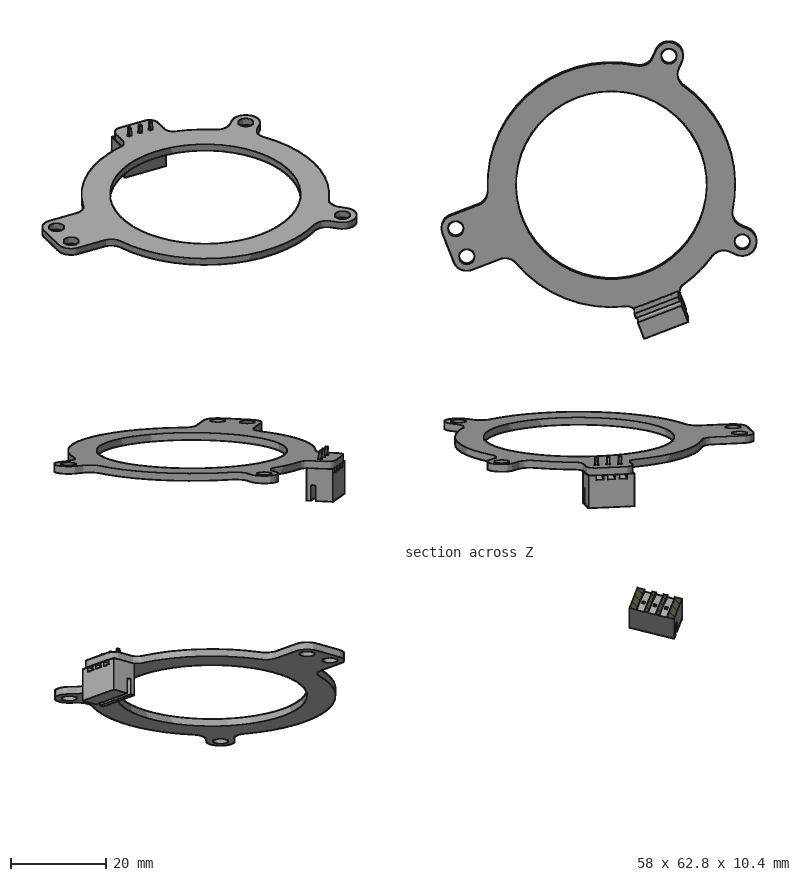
import cadquery as cq
import math

board_thickness = 1.6
ring_outer_radius = 26.0
ring_inner_radius = 20.0
mount_hole_diameter = 3.2
arm_radius = 3.0

ear_distance = 30.0
ear_angles = (45, 135)

mount_tab_hole_offset = 3.2
mount_tab_end = -36.8
mount_tab_half_width = mount_tab_hole_offset + arm_radius
mount_tab_hole_y = mount_tab_end + arm_radius

connector_tab_end = -32.0
connector_tab_width = 10.0
connector_tab_radius = 2.0

housing_depth = 5.75
housing_width = 9.9
housing_height = 7.0
housing_outer_x = -31.85
connector_y = -0.08

slot_width = 1.0
slot_height = 3.4
slot_start = 3.75
slot_corner_radius = 0.3

notch_width = 1.6
notch_depth = 1.0
notch_shallow_depth = 0.3
notch_ramp_length = 2.8

pin_pitch = 2.5
pin_size = 0.58
pin_hole_diameter = 0.95
pin_top = 3.4
pin_tip_height = 0.25
pin_tip_size = 0.3
pin_kink = 0.08
pin_lean = 7
pin_setback = 3.4
pin_x = housing_outer_x + pin_setback
middle_pin_y = connector_y
outer_pin_ys = (connector_y - pin_pitch, connector_y + pin_pitch)
pin_ys = (middle_pin_y, *outer_pin_ys)


def make_plate(outline):
    """Extrude a flat outline to the board thickness, upwards from Z = 0."""
    return outline.extrude(board_thickness)


def make_ear(angle):
    """Round-ended arm that reaches radially out of the ring."""
    arm = make_plate(cq.Workplane("XY").center(ear_distance / 2, 0).rect(ear_distance, 2 * arm_radius))
    end = make_plate(cq.Workplane("XY").center(ear_distance, 0).circle(arm_radius))
    return arm.union(end).rotate((0, 0, 0), (0, 0, 1), angle)


def make_connector_tab():
    length = -connector_tab_end
    tab = make_plate(cq.Workplane("XY").center(-length / 2, 0).rect(length, connector_tab_width))
    return tab.edges("|Z and <X").fillet(connector_tab_radius)


def make_mount_tab():
    length = -mount_tab_end
    tab = make_plate(cq.Workplane("XY").center(0, -length / 2).rect(2 * mount_tab_half_width, length))
    return tab.edges("|Z and <Y").fillet(arm_radius)


def fillet_root(body, x, y, radius):
    """Round the inside corner where an arm leaves the ring at (x, y)."""
    corner = cq.selectors.NearestToPointSelector((x, y, board_thickness / 2))
    return body.edges("|Z").edges(corner).fillet(radius)


def root_distance(half_width):
    """Distance from the ring centre, along an arm, to where its side meets the ring."""
    return math.sqrt(ring_outer_radius**2 - half_width**2)


def make_board():
    board = make_plate(cq.Workplane("XY").circle(ring_outer_radius))
    arms = [(angle, arm_radius, arm_radius) for angle in ear_angles]
    arms.append((180, connector_tab_width / 2, connector_tab_radius))
    arms.append((270, mount_tab_half_width, arm_radius))

    for angle in ear_angles:
        board = board.union(make_ear(angle))
    board = board.union(make_connector_tab()).union(make_mount_tab())

    for angle, half_width, radius in arms:
        direction = math.radians(angle)
        along = root_distance(half_width)
        for across in (-half_width, half_width):
            x = along * math.cos(direction) - across * math.sin(direction)
            y = along * math.sin(direction) + across * math.cos(direction)
            board = fillet_root(board, x, y, radius)

    ear_holes = [
        (ear_distance * math.cos(math.radians(angle)), ear_distance * math.sin(math.radians(angle)))
        for angle in ear_angles
    ]
    tab_holes = [(side * mount_tab_hole_offset, mount_tab_hole_y) for side in (-1, 1)]
    opening = make_plate(cq.Workplane("XY").circle(ring_inner_radius))
    mount_holes = make_plate(
        cq.Workplane("XY").pushPoints(ear_holes + tab_holes).circle(mount_hole_diameter / 2)
    )
    pin_centres = [(pin_x, y) for y in pin_ys]
    pin_holes = make_plate(cq.Workplane("XY").pushPoints(pin_centres).circle(pin_hole_diameter / 2))
    return board.cut(opening).cut(mount_holes).cut(pin_holes)


def make_notch(y):
    """Relief in the housing top: its floor rises towards the pin, then runs level."""
    profile = [
        (housing_outer_x, 0),
        (housing_outer_x, -notch_depth),
        (housing_outer_x + notch_ramp_length, -notch_shallow_depth),
        (housing_outer_x + housing_depth, -notch_shallow_depth),
        (housing_outer_x + housing_depth, 0),
    ]
    notch = cq.Workplane("XZ").polyline(profile).close().extrude(notch_width / 2, both=True)
    return notch.translate((0, y, 0))


def make_slot():
    """Slot across the underside of the housing, open at the bottom."""
    slot = cq.Workplane("XY").box(slot_width, housing_width, slot_height, centered=(False, True, False))
    slot = slot.edges("|Y and >Z").fillet(slot_corner_radius)
    return slot.translate((housing_outer_x + slot_start, 0, -housing_height))


def make_pin_end(bottom, lean):
    """Free end of a pin from the given height up: square, tapered at the tip, leaning towards -X."""
    end_height = pin_top - bottom
    shank_height = end_height - pin_tip_height

    def section(height, size):
        shift = -height * math.tan(math.radians(lean))
        centre = cq.Workplane("XY").workplane(offset=bottom + height).center(shift, 0)
        return centre.rect(size, size).wires().val()

    base = section(0, pin_size)
    shoulder = section(shank_height, pin_size)
    tip = section(end_height, pin_tip_size)
    shank = cq.Solid.makeLoft([base, shoulder], True)
    taper = cq.Solid.makeLoft([shoulder, tip], True)
    return cq.Workplane(shank).union(cq.Workplane(taper))


def make_pin(y, kink, lean):
    """Square pin rooted in the housing, kinked inside the board and leaning above it."""
    half = pin_size / 2
    profile = [
        (-half, -notch_depth),
        (half, -notch_depth),
        (half, 0),
        (half + kink, board_thickness),
        (-half + kink, board_thickness),
        (-half, 0),
    ]
    root = cq.Workplane("XZ").polyline(profile).close().extrude(half, both=True)
    end = make_pin_end(board_thickness, lean).translate((kink, 0, 0))
    return root.union(end).translate((pin_x, y, 0))


def make_connector():
    connector = cq.Workplane("XY").box(
        housing_depth, housing_width, housing_height, centered=(False, True, False)
    )
    connector = connector.translate((housing_outer_x, 0, -housing_height)).cut(make_slot())
    connector = connector.translate((0, connector_y, 0))
    for y in pin_ys:
        connector = connector.cut(make_notch(y))
    connector = connector.union(make_pin(middle_pin_y, 0, 0))
    for y in outer_pin_ys:
        connector = connector.union(make_pin(y, pin_kink, pin_lean))
    return connector


board = make_board()
connector = make_connector()
result = cq.Compound.makeCompound([board.val(), connector.val()])